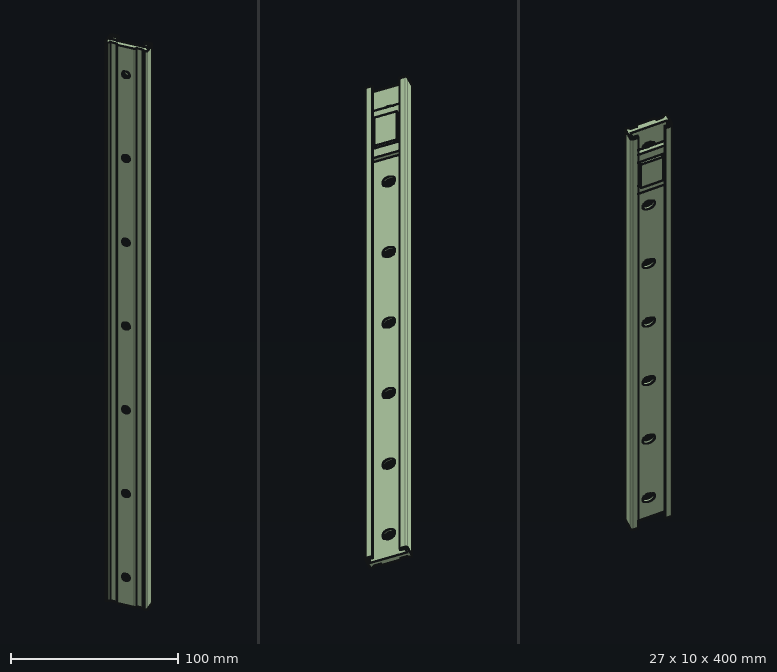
import cadquery as cq

rail_length = 400.0
rail_half_width = 13.5
rail_back = -5.0
lip_front = 4.5
lip_thickness = 1.5
lip_edge = 9.0
wall = 1.5
web_front = -0.5
groove_floor = -3.5
pad_half_width = 6.5
groove_half_width = 10.5
foot_edge = 12.0
foot_rounding = 1.0
lip_rounding = 1.0
lip_back = lip_front - lip_thickness
channel_half_width = rail_half_width - wall
pad_rounding = groove_floor - rail_back

hole_diameter = 5.0
counterbore_diameter = 8.0
counterbore_depth = 2.5
hole_pitch = 60.0
hole_count = 7

carriage_top = 180.0
carriage_length = 40.0
glider_length = 8.0
table_half_width = 7.0
table_front = 5.0
carriage_bottom = carriage_top - carriage_length
plate_bottom = carriage_bottom + glider_length
plate_length = carriage_length - 2 * glider_length


def extrude_along_z(profile, bottom, length):
    """Extrude a closed XY profile upwards from the given Z."""
    return profile.extrude(length).translate((0, 0, bottom))


def make_rail_section():
    """Half of the cross-section, mirrored about the middle plane of the rail."""
    return (
        cq.Workplane("XY")
        .moveTo(0, rail_back)
        .lineTo(pad_half_width - pad_rounding, rail_back)
        .radiusArc((pad_half_width, groove_floor), -pad_rounding)
        .lineTo(groove_half_width, groove_floor)
        .lineTo(foot_edge, rail_back)
        .lineTo(rail_half_width - foot_rounding, rail_back)
        .radiusArc((rail_half_width, rail_back + foot_rounding), -foot_rounding)
        .lineTo(rail_half_width, lip_front - lip_rounding)
        .radiusArc((rail_half_width - lip_rounding, lip_front), -lip_rounding)
        .lineTo(lip_edge, lip_front)
        .lineTo(lip_edge, lip_back)
        .lineTo(channel_half_width, lip_back)
        .lineTo(channel_half_width, web_front)
        .lineTo(0, web_front)
        .mirrorY()
    )


def make_hole_row(diameter, depth):
    """Row of cylinders that go into the web from the floor of the channel."""
    first_hole = -hole_pitch * (hole_count - 1) / 2
    centres = [(0, first_hole + i * hole_pitch) for i in range(hole_count)]
    return (
        cq.Workplane("XZ", origin=(0, web_front, 0))
        .pushPoints(centres)
        .circle(diameter / 2)
        .extrude(depth)
    )


def make_rail():
    rail = extrude_along_z(make_rail_section(), -rail_length / 2, rail_length)
    rail = rail.cut(make_hole_row(hole_diameter, web_front - rail_back))
    return rail.cut(make_hole_row(counterbore_diameter, counterbore_depth))


def make_channel_block(bottom, length):
    """Block that fills the channel between the floor and the lips."""
    profile = (
        cq.Workplane("XY")
        .center(0, (web_front + lip_back) / 2)
        .rect(2 * channel_half_width, lip_back - web_front)
    )
    return extrude_along_z(profile, bottom, length)


def make_plate():
    table_profile = (
        cq.Workplane("XY")
        .center(0, (lip_back + table_front) / 2)
        .rect(2 * table_half_width, table_front - lip_back)
    )
    table = extrude_along_z(table_profile, plate_bottom, plate_length)
    return make_channel_block(plate_bottom, plate_length).union(table)


def make_glider(bottom):
    return make_channel_block(bottom, glider_length)


rail = make_rail()
plate = make_plate()
glider_bottoms = [carriage_bottom, carriage_top - glider_length]
gliders = [make_glider(bottom) for bottom in glider_bottoms]

result = cq.Compound.makeCompound([rail.val(), plate.val(), *[glider.val() for glider in gliders]])